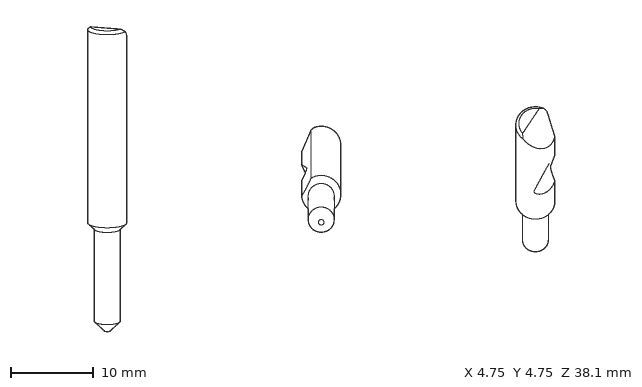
import cadquery as cq
import math

total_length = 38.1
body_diameter = 4.75
shank_diameter = 3.15
tip_radius = 0.35
shoulder_top = 13.55
top_chamfer = 0.4

body_radius = body_diameter / 2
shank_radius = shank_diameter / 2

tip_height = shank_radius - tip_radius
shoulder_bottom = shoulder_top - (body_radius - shank_radius)

flat_distance = 2.02
flat_angle = 143

slope_start_y = -0.65

notch_top = 30.0
notch_step_z = 21.2
notch_corner_radius = 1.15
notch_corner_y = 2.25

clearance = 3.8


def turned_blank():
    """Revolve the half outline of the body, shank and conical tip."""
    outline = [
        (0, 0),
        (tip_radius, 0),
        (shank_radius, tip_height),
        (shank_radius, shoulder_bottom),
        (body_radius, shoulder_top),
        (body_radius, total_length - top_chamfer),
        (body_radius - top_chamfer, total_length),
        (0, total_length),
    ]
    return cq.Workplane("XZ").polyline(outline).close().revolve(360, (0, 0), (0, 1))


def across_body(profile):
    """Extrude a closed YZ profile through the full width of the body."""
    return profile.extrude(body_radius + clearance, both=True)


def side_flat_cutter():
    """Block lying outside the side flat, over the full length."""
    block = cq.Workplane("XY").box(
        clearance, 4 * body_radius, total_length, centered=(False, True, False)
    )
    return block.translate((flat_distance, 0, 0)).rotate((0, 0, 0), (0, 0, 1), flat_angle)


def top_slope_cutter():
    """Wedge above the sloping top face."""
    outer_y = body_radius + clearance
    drop = outer_y - slope_start_y
    profile = (
        cq.Workplane("YZ")
        .moveTo(slope_start_y, total_length)
        .lineTo(outer_y, total_length - drop)
        .lineTo(outer_y, total_length)
        .close()
    )
    return across_body(profile)


def notch_cutter():
    """Ramp from the outside inward, tangent to a rounded corner that ends on the flat step."""
    outer_y = body_radius + clearance
    corner_z = notch_step_z + notch_corner_radius

    offset_y = body_radius - notch_corner_y
    offset_z = notch_top - corner_z
    centre_distance = math.hypot(offset_y, offset_z)
    centre_angle = math.atan2(offset_z, offset_y)
    tangent_angle = centre_angle + math.acos(notch_corner_radius / centre_distance) - math.pi

    def corner_point(angle):
        """Point on the corner circle, angle counted from -Y down toward -Z."""
        return (
            notch_corner_y - notch_corner_radius * math.cos(angle),
            corner_z - notch_corner_radius * math.sin(angle),
        )

    step_angle = math.pi / 2
    profile = (
        cq.Workplane("YZ")
        .moveTo(body_radius, notch_top)
        .lineTo(*corner_point(tangent_angle))
        .threePointArc(corner_point((tangent_angle + step_angle) / 2), corner_point(step_angle))
        .lineTo(outer_y, notch_step_z)
        .lineTo(outer_y, notch_top)
        .close()
    )
    return across_body(profile)


result = turned_blank()
for cutter in (side_flat_cutter(), top_slope_cutter(), notch_cutter()):
    result = result.cut(cutter)